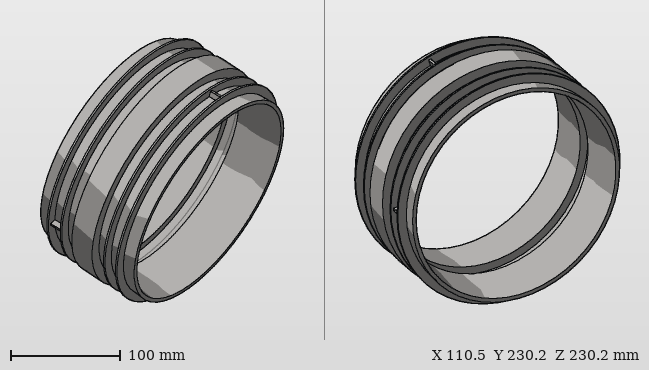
import cadquery as cq

length = 110.5
half_length = length / 2
end_radius = 107.3
waist_radius = 104.3
bore_end_radius = 103.4
bore_waist_radius = 99.7

band_diameter = 230.2
band_width = 24.0
groove_diameter = 216.2
groove_width = 15.0

fin_root_width = 3.2
fin_tip_width = 1.8
outer_fin_x = 40.5
outer_fin_radius = band_diameter / 2
inner_fin_x = 25.5
inner_fin_radius = 114.2

bar_root_width = 3.7
bar_tip_width = 2.3
bar_height = 5.8
bar_length = outer_fin_x - inner_fin_x
left_bar_angle = 90.0
right_bar_angle = -20.0


def revolve_about_x(points):
    """Solid of revolution about X from (x, radius) points."""
    return cq.Workplane("XY").polyline(points).close().revolve(360, (0, 0, 0), (1, 0, 0))


def waisted_solid(radius_at_ends, radius_at_middle):
    """Full-length round solid that tapers from both ends to the middle."""
    return revolve_about_x([
        (-half_length, 0),
        (-half_length, radius_at_ends),
        (0, radius_at_middle),
        (half_length, radius_at_ends),
        (half_length, 0),
    ])


def centred_disc(width, diameter):
    """Plain disc centred on X = 0."""
    return cq.Workplane("YZ").circle(diameter / 2).extrude(width / 2, both=True)


def fin(x, radius):
    """Fin whose flanks narrow from the tube wall to the tip."""
    return revolve_about_x([
        (x - fin_root_width / 2, 0),
        (x - fin_root_width / 2, waist_radius),
        (x - fin_tip_width / 2, radius),
        (x + fin_tip_width / 2, radius),
        (x + fin_root_width / 2, waist_radius),
        (x + fin_root_width / 2, 0),
    ])


def bar(start_x, angle):
    """Bar between the fins of one side; its top follows the taper of the tube."""
    tip_radius = end_radius + bar_height
    blank = (
        cq.Workplane("YZ")
        .workplane(offset=start_x)
        .polyline([
            (-bar_root_width / 2, waist_radius),
            (-bar_tip_width / 2, tip_radius),
            (bar_tip_width / 2, tip_radius),
            (bar_root_width / 2, waist_radius),
        ])
        .close()
        .extrude(bar_length)
        .rotate((0, 0, 0), (1, 0, 0), angle)
    )
    return blank.intersect(waisted_solid(tip_radius, waist_radius + bar_height))


body = waisted_solid(end_radius, waist_radius).union(centred_disc(band_width, band_diameter))
for side in (-1, 1):
    body = body.union(fin(side * outer_fin_x, outer_fin_radius))
    body = body.union(fin(side * inner_fin_x, inner_fin_radius))
for opposite in (0, 180):
    body = body.union(bar(-outer_fin_x, left_bar_angle + opposite))
    body = body.union(bar(inner_fin_x, right_bar_angle + opposite))

bore = waisted_solid(bore_end_radius, bore_waist_radius)
result = body.cut(bore).cut(centred_disc(groove_width, groove_diameter))